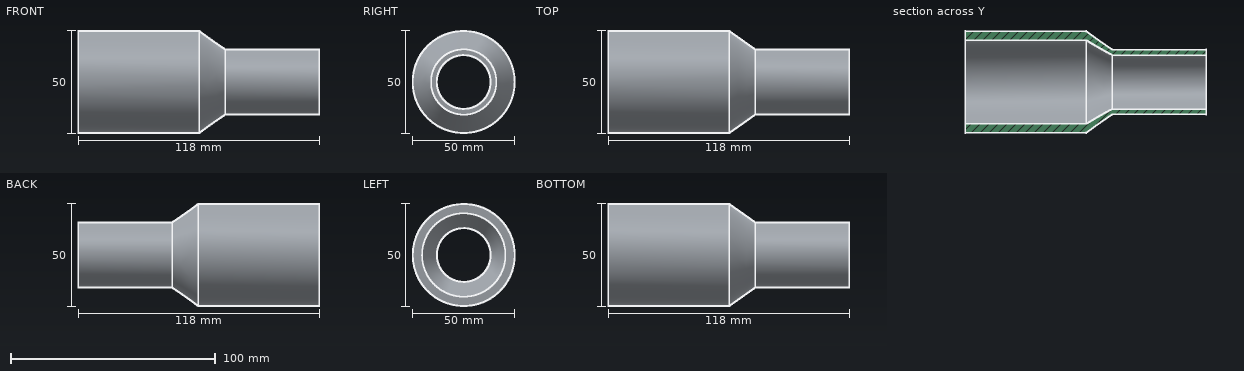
import cadquery as cq

total_length = 118.0
wide_length = 59.2
cone_length = 12.7
wide_outer_diameter = 50.0
wide_bore_diameter = 40.8
narrow_outer_diameter = 32.0
narrow_bore_diameter = 26.2

cone_end = wide_length + cone_length


def stepped_cone(wide_diameter, narrow_diameter):
    """Solid of revolution about X with a conical step between two diameters."""
    wide_radius = wide_diameter / 2
    narrow_radius = narrow_diameter / 2
    profile = (
        cq.Workplane("XY")
        .moveTo(0, 0)
        .lineTo(0, wide_radius)
        .lineTo(wide_length, wide_radius)
        .lineTo(cone_end, narrow_radius)
        .lineTo(total_length, narrow_radius)
        .lineTo(total_length, 0)
        .close()
    )
    return profile.revolve(360, (0, 0, 0), (1, 0, 0))


outer_body = stepped_cone(wide_outer_diameter, narrow_outer_diameter)
bore = stepped_cone(wide_bore_diameter, narrow_bore_diameter)

result = outer_body.cut(bore)